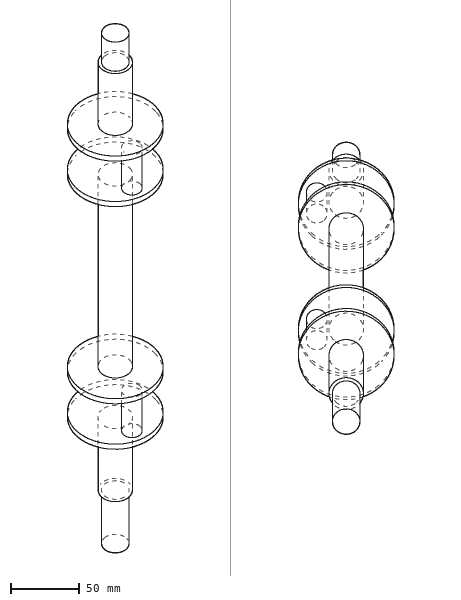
import cadquery as cq


stub_diameter = 20.0
journal_diameter = 25.0
web_diameter = 70.0
pin_diameter = 15.0

pin_offset = 23.5

total_length = 505.0
lower_stub_length = 53.0
lower_journal_length = 72.0
upper_journal_length = 61.0
upper_stub_length = 29.0
web_thickness = 5.0
pin_length = 40.0
throw_length = pin_length + 2 * web_thickness

lower_journal_base = lower_stub_length
lower_throw_base = lower_journal_base + lower_journal_length
middle_journal_base = lower_throw_base + throw_length
upper_stub_base = total_length - upper_stub_length
upper_journal_base = upper_stub_base - upper_journal_length
upper_throw_base = upper_journal_base - throw_length
middle_journal_length = upper_throw_base - middle_journal_base


def cylinder(diameter, base, length, x=0.0):
    """Upright solid cylinder standing on height base."""
    return cq.Workplane("XY", origin=(x, 0, base)).circle(diameter / 2).extrude(length)


def throw(base):
    """Two round webs joined by an offset crank pin."""
    pin_base = base + web_thickness
    lower_web = cylinder(web_diameter, base, web_thickness)
    pin = cylinder(pin_diameter, pin_base, pin_length, pin_offset)
    upper_web = cylinder(web_diameter, pin_base + pin_length, web_thickness)
    return lower_web.union(pin).union(upper_web)


result = cylinder(stub_diameter, 0, lower_stub_length)
result = result.union(cylinder(journal_diameter, lower_journal_base, lower_journal_length))
result = result.union(throw(lower_throw_base))
result = result.union(cylinder(journal_diameter, middle_journal_base, middle_journal_length))
result = result.union(throw(upper_throw_base))
result = result.union(cylinder(journal_diameter, upper_journal_base, upper_journal_length))
result = result.union(cylinder(stub_diameter, upper_stub_base, upper_stub_length))